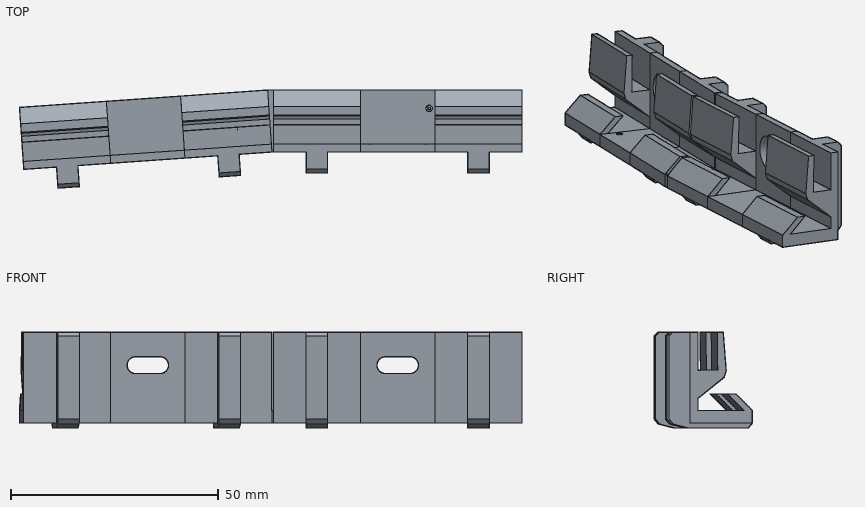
import cadquery as cq
import math

SEGMENT_LENGTH = 60.0
MIDDLE_LENGTH = 18.0
END_LENGTH = (SEGMENT_LENGTH - MIDDLE_LENGTH) / 2
BEND_ANGLE = 4.0
JOINT_GAP = 0.32

HEIGHT = 22.0
DEPTH = 15.0
WALL_THICKNESS = 2.0
BASE_THICKNESS = 3.0

LIP_RISE = 4.0
LIP_FOOT_WIDTH = 2.1

CHANNEL_FLOOR = 12.7
CHANNEL_TOP_BACK = 6.5
CHANNEL_FLOOR_BACK = 6.7
CLIP_TOP_BACK = 8.0
CLIP_BULGE_BACK = 8.7
CLIP_BULGE_Z = 12.6
CLIP_HEEL_BACK = 8.2
CLIP_HEEL_Z = 11.0
BRACKET_FOOT_Z = 6.0

RIB_WIDTH = 5.2
RIB_PROJECTION = 5.1
RIB_DROP = 1.2
RIB_TOP_CHAMFER = 1.0
RIB_TOE_DEPTH = 1.0
RIB_TOE_RISE = 1.2
RIB_TOE_Z = 1.0
RIB_RAMP_START = 0.4
RIB_HEEL_CHAMFER = 1.0

SLOT_LENGTH = 10.0
SLOT_HEIGHT = 4.0
SLOT_Z = 14.0
SLOT_FLARE_ANGLE = 45

PLUG_X = 37.6
PLUG_Y = 10.5
PLUG_RADIUS = 0.4
RING_RADIUS = 0.7


def extrude_along_x(points, start, length):
    """Extrude a closed (y, z) outline in +X from x = start."""
    return cq.Workplane("YZ", origin=(start, 0, 0)).polyline(points).close().extrude(length)


def rib(center_x):
    toe_y = RIB_TOE_DEPTH - RIB_PROJECTION
    outline = [
        (0, HEIGHT),
        (RIB_TOP_CHAMFER - RIB_PROJECTION, HEIGHT),
        (-RIB_PROJECTION, HEIGHT - RIB_TOP_CHAMFER),
        (-RIB_PROJECTION, RIB_TOE_Z),
        (toe_y, RIB_TOE_Z - RIB_TOE_RISE),
        (-RIB_RAMP_START, -RIB_DROP),
        (DEPTH - RIB_HEEL_CHAMFER, -RIB_DROP),
        (DEPTH, 0),
        (0, 0),
    ]
    return extrude_along_x(outline, center_x - RIB_WIDTH / 2, RIB_WIDTH)


def end_section(start_x):
    """Wall and base with a clip, a lip and one centred rib."""
    lip_top = BASE_THICKNESS + LIP_RISE
    lip_foot_front = DEPTH - LIP_FOOT_WIDTH
    outline = [
        (0, 0),
        (DEPTH, 0),
        (DEPTH, BASE_THICKNESS),
        (DEPTH - LIP_RISE, lip_top),
        (lip_foot_front - LIP_RISE, lip_top),
        (lip_foot_front, BASE_THICKNESS),
        (WALL_THICKNESS, BASE_THICKNESS),
        (WALL_THICKNESS, BRACKET_FOOT_Z),
        (CLIP_HEEL_BACK, CLIP_HEEL_Z),
        (CLIP_BULGE_BACK, CLIP_BULGE_Z),
        (CLIP_TOP_BACK, HEIGHT),
        (CHANNEL_TOP_BACK, HEIGHT),
        (CHANNEL_FLOOR_BACK, CHANNEL_FLOOR),
        (WALL_THICKNESS, CHANNEL_FLOOR),
        (WALL_THICKNESS, HEIGHT),
        (0, HEIGHT),
    ]
    body = extrude_along_x(outline, start_x, END_LENGTH)
    return body.union(rib(start_x + END_LENGTH / 2))


def middle_section(start_x):
    """Plain wall and base with a countersunk slot through the wall."""
    outline = [
        (0, 0),
        (DEPTH, 0),
        (DEPTH, BASE_THICKNESS),
        (WALL_THICKNESS, BASE_THICKNESS),
        (WALL_THICKNESS, HEIGHT),
        (0, HEIGHT),
    ]
    slot = (
        cq.Workplane("XZ", origin=(start_x + MIDDLE_LENGTH / 2, 0, SLOT_Z))
        .slot2D(SLOT_LENGTH, SLOT_HEIGHT)
        .extrude(-WALL_THICKNESS, taper=-SLOT_FLARE_ANGLE)
    )
    return extrude_along_x(outline, start_x, MIDDLE_LENGTH).cut(slot)


def base_cylinder(radius):
    """Round column through the base at the plug position."""
    return cq.Workplane("XY", origin=(PLUG_X, PLUG_Y, 0)).circle(radius).extrude(BASE_THICKNESS)


def bend(section):
    """Swing a section of the left segment about the joint."""
    return section.rotate((0, 0, 0), (0, 0, 1), BEND_ANGLE).translate((-JOINT_GAP, 0, 0))


def joint_wedge():
    """Tapered floor piece filling the angle between the two bases."""
    angle = math.radians(BEND_ANGLE)
    left_back = (-JOINT_GAP - DEPTH * math.sin(angle), DEPTH * math.cos(angle))
    corners = [(-JOINT_GAP, 0), (0, 0), (0, DEPTH), left_back]
    return cq.Workplane("XY").polyline(corners).close().extrude(BASE_THICKNESS)


end_starts = [0, END_LENGTH + MIDDLE_LENGTH]

straight_ends = [end_section(start) for start in end_starts]
straight_middle = middle_section(END_LENGTH).cut(base_cylinder(RING_RADIUS))
plug = base_cylinder(PLUG_RADIUS)

bent_ends = [bend(end_section(start - SEGMENT_LENGTH)) for start in end_starts]
bent_middle = bend(middle_section(END_LENGTH - SEGMENT_LENGTH))

wedge = joint_wedge()

bodies = [*straight_ends, straight_middle, plug, *bent_ends, bent_middle, wedge]
result = cq.Compound.makeCompound([body.val() for body in bodies])